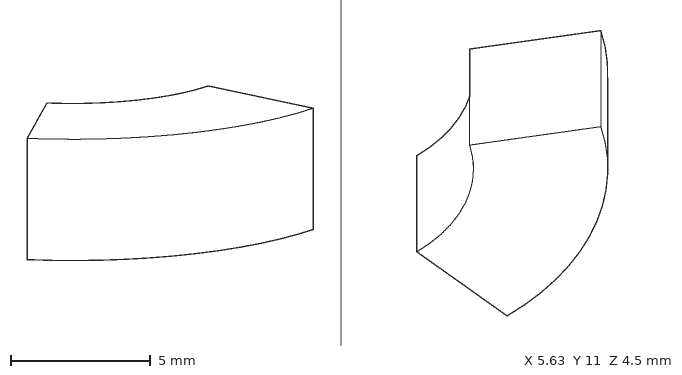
import cadquery as cq
import math

OUTER_RADIUS = 11.0
INNER_RADIUS = 6.2
SECTOR_ANGLE = 60.0
HEIGHT = 4.5

HALF_ANGLE = SECTOR_ANGLE / 2


def polar_point(radius, angle_degrees):
    """Point at a radius and angle about the ring axis, with 0 degrees along +X."""
    angle = math.radians(angle_degrees)
    return (radius * math.cos(angle), radius * math.sin(angle))


def ring_segment():
    """Annular sector centred on +X, with its two flat ends lying on radial lines."""
    return (
        cq.Workplane("XY")
        .moveTo(*polar_point(INNER_RADIUS, -HALF_ANGLE))
        .lineTo(*polar_point(OUTER_RADIUS, -HALF_ANGLE))
        .threePointArc((OUTER_RADIUS, 0), polar_point(OUTER_RADIUS, HALF_ANGLE))
        .lineTo(*polar_point(INNER_RADIUS, HALF_ANGLE))
        .threePointArc((INNER_RADIUS, 0), polar_point(INNER_RADIUS, -HALF_ANGLE))
        .close()
        .extrude(HEIGHT)
    )


result = ring_segment()